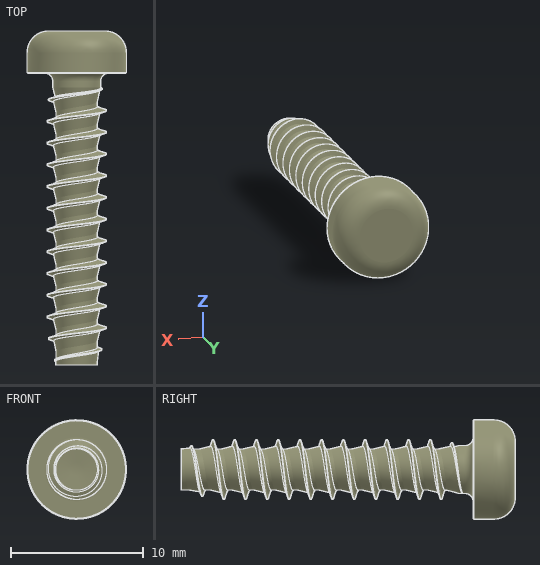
import cadquery as cq
import math


TOTAL_LENGTH = 25.2
HEAD_DIAMETER = 7.5
HEAD_HEIGHT = 3.2
DOME_RADIUS = 1.64
HEAD_EDGE_CHAMFER = 0.08

NECK_DIAMETER = 3.63
NECK_FILLET = 0.6
NECK_LENGTH = 1.08
CORE_DIAMETER = 3.12
NECK_TAPER_LENGTH = 0.93
TIP_RECESS_DEPTH = 0.13
TRIM_LENGTH = 2.52

THREAD_DIAMETER = 4.5
PITCH = 1.64
THREAD_START = 0.75
FADE_IN_TURNS = 1.0
FULL_TURNS = 10.5
FADE_OUT_TURNS = 1.5
START_ANGLE = -90.0

CREST_HALF_WIDTH = 0.03
HEAD_KINK_OFFSET = 0.13
HEAD_KINK_DIAMETER = 3.73
HEAD_FOOT_OFFSET = 0.3
TIP_FOOT_OFFSET = 0.18
FADED_KINK_OFFSET = 0.038
FADED_FOOT_OFFSET = 0.05
RELIEF_END_OFFSET = 1.1
RELIEF_TOP_DIAMETER = 3.53

ROOT_OVERLAP = 0.2
FADE_OVERLAP = 0.03

head_radius = HEAD_DIAMETER / 2
neck_radius = NECK_DIAMETER / 2
core_radius = CORE_DIAMETER / 2
root_radius = core_radius - ROOT_OVERLAP
sunk_radius = core_radius - FADE_OVERLAP
crest_radius = THREAD_DIAMETER / 2
kink_radius = HEAD_KINK_DIAMETER / 2
relief_radius = RELIEF_TOP_DIAMETER / 2
shank_length = TOTAL_LENGTH - HEAD_HEIGHT


def make_body():
    """Head, neck and plain core turned from one half section."""
    arc_middle = math.sqrt(0.5)
    dome_center_r = head_radius - DOME_RADIUS
    dome_center_z = DOME_RADIUS - HEAD_HEIGHT
    fillet_center_r = neck_radius + NECK_FILLET
    return (
        cq.Workplane("XZ")
        .moveTo(0, -HEAD_HEIGHT)
        .lineTo(dome_center_r, -HEAD_HEIGHT)
        .threePointArc(
            (dome_center_r + DOME_RADIUS * arc_middle, dome_center_z - DOME_RADIUS * arc_middle),
            (head_radius, dome_center_z),
        )
        .lineTo(head_radius, -HEAD_EDGE_CHAMFER)
        .lineTo(head_radius - HEAD_EDGE_CHAMFER, 0)
        .lineTo(fillet_center_r, 0)
        .threePointArc(
            (fillet_center_r - NECK_FILLET * arc_middle, NECK_FILLET * (1 - arc_middle)),
            (neck_radius, NECK_FILLET),
        )
        .lineTo(neck_radius, NECK_LENGTH)
        .lineTo(core_radius, NECK_LENGTH + NECK_TAPER_LENGTH)
        .lineTo(core_radius, shank_length)
        .lineTo(0, shank_length)
        .close()
        .revolve(360, (0, 0, 0), (0, 1, 0))
    )


def thread_section(crest, head_kink, head_foot, tip_foot, relief):
    """Corners (offset along the axis, radius) of the thread ridge and its relief slope.

    The flank towards the head steepens at the kink; the relief runs on from the tip flank.
    """
    kink_offset, kink = head_kink
    return [
        (-head_foot, root_radius),
        (-head_foot, sunk_radius),
        (-kink_offset, kink),
        (-CREST_HALF_WIDTH, crest),
        (CREST_HALF_WIDTH, crest),
        (tip_foot, relief),
        (RELIEF_END_OFFSET, sunk_radius),
        (RELIEF_END_OFFSET, root_radius),
    ]


def full_section():
    """Section of the thread at its full height."""
    head_kink = (HEAD_KINK_OFFSET, kink_radius)
    return thread_section(crest_radius, head_kink, HEAD_FOOT_OFFSET, TIP_FOOT_OFFSET, relief_radius)


def faded_section(crest, relief):
    """Narrow section whose crest has sunk to the surface of the shank."""
    head_kink = (FADED_KINK_OFFSET, (crest + sunk_radius) / 2)
    return thread_section(crest, head_kink, FADED_FOOT_OFFSET, FADED_FOOT_OFFSET, relief)


def helix(start_z, turns, start_point, end_point):
    """Right-hand helix of one section corner, conical when its radius changes."""
    start_offset, start_radius = start_point
    end_offset, end_radius = end_point
    rise = turns * PITCH + end_offset - start_offset
    if math.isclose(start_radius, end_radius):
        wire = cq.Wire.makeHelix(rise / turns, rise, start_radius)
    else:
        slope = math.atan2(end_radius - start_radius, rise)
        slant = rise / math.cos(slope)
        wire = cq.Wire.makeHelix(slant / turns, slant, start_radius, angle=math.degrees(slope))
    return wire.translate(cq.Vector(0, 0, start_z + start_offset))


def end_face(section, z, angle):
    """Flat end of a thread stretch in a plane through the axis."""
    points = [cq.Vector(radius, 0, z + offset) for offset, radius in section]
    wire = cq.Wire.makePolygon(points, close=True)
    return cq.Face.makeFromWires(wire).rotate(cq.Vector(), cq.Vector(0, 0, 1), angle)


def thread_stretch(first_turn, turns, start_section, end_section):
    """Solid thread stretch bounded by ruled faces between neighbouring helices."""
    start_z = THREAD_START + first_turn * PITCH
    helices = [helix(start_z, turns, a, b) for a, b in zip(start_section, end_section)]
    faces = [
        cq.Face.makeRuledSurface(helices[i - 1], helices[i])
        for i in range(len(helices))
    ]
    faces.append(end_face(start_section, start_z, 0))
    faces.append(end_face(end_section, start_z + turns * PITCH, 360 * turns))
    solid = cq.Solid.makeSolid(cq.Shell.makeShell(faces))
    stretch_angle = START_ANGLE + 360 * first_turn
    return solid.rotate(cq.Vector(), cq.Vector(0, 0, 1), stretch_angle)


def make_thread():
    """Thread that rises out of the neck, runs full, and dies out at the tip."""
    rising = faded_section(neck_radius, relief_radius)
    full = full_section()
    faded = faded_section(core_radius, core_radius)
    stretches = [
        (FADE_IN_TURNS, rising, full),
        (FULL_TURNS, full, full),
        (FADE_OUT_TURNS, full, faded),
    ]
    solids = []
    first_turn = 0
    for turns, start_section, end_section in stretches:
        solids.append(thread_stretch(first_turn, turns, start_section, end_section))
        first_turn += turns
    return solids


def make_tip_trim():
    """Cutter that clears everything past the tip and sinks a shallow cone into its face."""
    return (
        cq.Workplane("XZ")
        .moveTo(0, shank_length - TIP_RECESS_DEPTH)
        .lineTo(core_radius, shank_length)
        .lineTo(head_radius, shank_length)
        .lineTo(head_radius, shank_length + TRIM_LENGTH)
        .lineTo(0, shank_length + TRIM_LENGTH)
        .close()
        .revolve(360, (0, 0, 0), (0, 1, 0))
    )


screw = make_body()
for stretch in make_thread():
    screw = screw.union(cq.Workplane(obj=stretch))
screw = screw.cut(make_tip_trim())

result = screw.rotate((0, 0, 0), (1, 0, 0), 90)